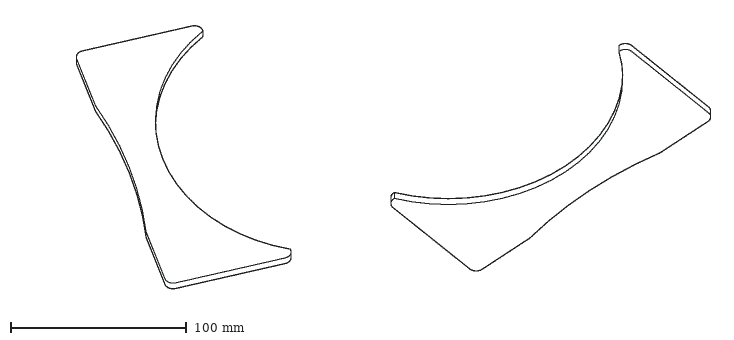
import cadquery as cq

length = 183.2
depth = 75.0
thickness = 5.0
corner_radius = 5.0

recess_radius = 99.3
web_top = 25.1

relief_width = 100.0
relief_rise = 5.0


def rounded_plate():
    """Rectangular plate with its four vertical corners rounded."""
    return (
        cq.Workplane("XY")
        .rect(length, depth)
        .extrude(thickness)
        .edges("|Z")
        .fillet(corner_radius)
    )


def back_recess():
    """Cylinder that leaves a pointed horn at each end of the plate."""
    center_y = -depth / 2 + web_top + recess_radius
    return cq.Workplane("XY").center(0, center_y).circle(recess_radius).extrude(thickness)


def front_relief():
    """Circular segment that hollows the middle of the front edge."""
    front_y = -depth / 2
    return (
        cq.Workplane("XY")
        .moveTo(-relief_width / 2, front_y)
        .threePointArc((0, front_y + relief_rise), (relief_width / 2, front_y))
        .close()
        .extrude(thickness)
    )


result = rounded_plate().cut(back_recess()).cut(front_relief())